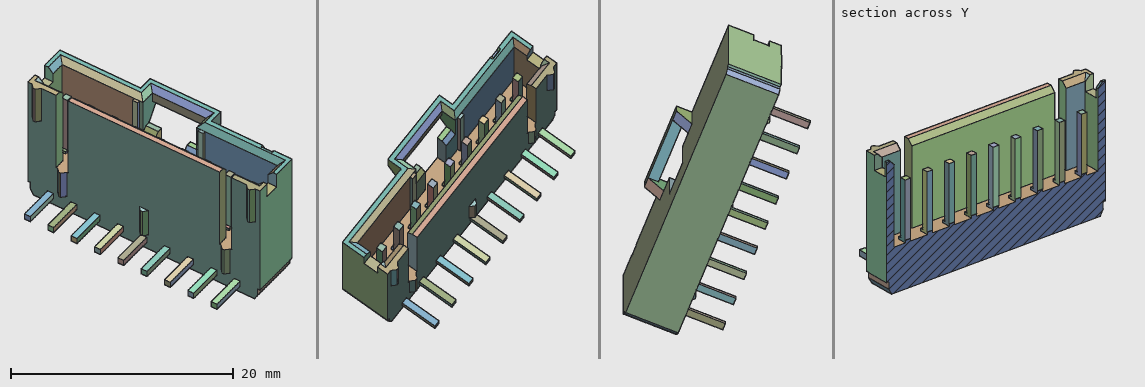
import cadquery as cq


WIDTH = 25.27
DEPTH = 5.1
HEIGHT = 13.59
FLOOR_Z = 4.72
FOOT_HEIGHT = 1.37
FOOT_STEP = 0.25
FOOT_CHAMFER_X = 0.35
FOOT_CHAMFER_Z = 0.65

MOUTH_CHAMFER = 0.53
SIDE_RIM = 0.4
FRONT_RIM = 0.53
BACK_RIM = 0.47
SIDE_WALL = SIDE_RIM + MOUTH_CHAMFER
FRONT_WALL = FRONT_RIM + MOUTH_CHAMFER
BACK_WALL = BACK_RIM + MOUTH_CHAMFER
CHAMFER_Z = HEIGHT - MOUTH_CHAMFER

BAY_WIDTH = 7.7
BAY_DEPTH = 1.5
BAY_WALL_HEIGHT = 1.54
BAY_HEIGHT = 3.75
BAY_OPENING = BAY_WIDTH - 2 * SIDE_WALL
BACK_SLOT_WIDTH = 3.13
SILL_Z = HEIGHT - BAY_HEIGHT
SILL_CHAMFER = 0.47

GUIDE_WIDTH = 0.57
GUIDE_DEPTH = 0.3

SIDE_NOTCH_WIDTH = 1.52
SIDE_NOTCH_DEPTH = 1.54
SIDE_NOTCH_Y = 1.9
FRONT_SLOT_WIDTH = 1.3

RIB_BASE = 1.0
RIB_CREST = 0.2
RIB_RISE = 0.4
UPPER_RIB_X = 11.67
UPPER_RIB_LENGTH = 4.03
LOWER_RIB_LENGTH = 2.98

MARK_X = 10.06
MARK_WIDTH = 1.25
MARK_HEIGHT = 0.25
MARK_FLAT = MARK_WIDTH - 2 * MARK_HEIGHT
MARK_DEPTH = 0.25

PIN_COUNT = 9
PITCH = 2.54
PIN_SIZE = 0.64
PIN_REACH = 3.68
PIN_Z = 1.03
PIN_Y = DEPTH / 2
PIN_LENGTH = 6.35
SHOULDER_DEPTH = 1.24
SHOULDER_RISE = 0.25

FRONT_SLOT_X = (PIN_COUNT - 2) / 2 * PITCH


def box(x_min, x_max, y_min, y_max, z_min, z_max):
    """Axis-aligned block between the given limits."""
    size = (x_max - x_min, y_max - y_min, z_max - z_min)
    return cq.Workplane("XY").box(*size, centered=False).translate((x_min, y_min, z_min))


def centred_box(x, width, y_min, y_max, z_min, z_max):
    """Axis-aligned block of the given width, centred on x."""
    return box(x - width / 2, x + width / 2, y_min, y_max, z_min, z_max)


def body():
    """Solid housing whose foot is stepped in and chamfered at both ends."""
    half = WIDTH / 2
    foot = half - FOOT_STEP
    base = foot - FOOT_CHAMFER_X
    right_side = [
        (base, 0),
        (foot, FOOT_CHAMFER_Z),
        (foot, FOOT_HEIGHT),
        (half, FOOT_HEIGHT),
        (half, HEIGHT),
    ]
    left_side = [(-x, z) for x, z in reversed(right_side)]
    return cq.Workplane("XZ").polyline(right_side + left_side).close().extrude(-DEPTH)


def latch_bay():
    """Block behind the back wall with a sloping underside."""
    profile = [
        (DEPTH, HEIGHT),
        (DEPTH + BAY_DEPTH, HEIGHT),
        (DEPTH + BAY_DEPTH, HEIGHT - BAY_WALL_HEIGHT),
        (DEPTH, HEIGHT - BAY_HEIGHT),
    ]
    return cq.Workplane("YZ").polyline(profile).close().extrude(BAY_WIDTH / 2, both=True)


def flared_cut(x_half, y_min, y_max, z_min):
    """Straight pocket up to the rim, flared outward by the mouth chamfer."""
    pocket = centred_box(0, 2 * x_half, y_min, y_max, z_min, HEIGHT)
    flare = (
        cq.Workplane("XY", origin=(0, (y_min + y_max) / 2, CHAMFER_Z))
        .rect(2 * x_half, y_max - y_min)
        .workplane(offset=MOUTH_CHAMFER)
        .rect(2 * (x_half + MOUTH_CHAMFER), y_max - y_min + 2 * MOUTH_CHAMFER)
        .loft(ruled=True)
    )
    return pocket.union(flare)


def cavity():
    """Main cavity, latch bay pocket, window under the bay wall, and slot down to the floor."""
    inner_back = DEPTH - BACK_WALL
    main = flared_cut(WIDTH / 2 - SIDE_WALL, FRONT_WALL, inner_back, FLOOR_Z)
    bay = flared_cut(BAY_OPENING / 2, PIN_Y, DEPTH + BAY_DEPTH - BACK_WALL, SILL_Z)
    window = centred_box(0, BAY_OPENING, inner_back, DEPTH + BAY_DEPTH, SILL_Z, HEIGHT - BAY_WALL_HEIGHT)
    slot = centred_box(0, BACK_SLOT_WIDTH, inner_back, DEPTH, FLOOR_Z, SILL_Z)
    bevel_profile = [
        (inner_back, SILL_Z),
        (inner_back + SILL_CHAMFER, SILL_Z),
        (inner_back, SILL_Z - SILL_CHAMFER),
    ]
    sill_bevel = cq.Workplane("YZ").polyline(bevel_profile).close().extrude(BAY_OPENING / 2, both=True)
    return main.union(bay).union(window).union(slot).union(sill_bevel)


def guide_rib(side):
    """Vertical rib inside the back wall, on one side of the latch bay."""
    inner_back = DEPTH - BACK_WALL
    x = side * (BAY_WIDTH - GUIDE_WIDTH) / 2
    return centred_box(x, GUIDE_WIDTH, inner_back - GUIDE_DEPTH, inner_back, FLOOR_Z, CHAMFER_Z)


def side_notches():
    """Rim notch through both end walls."""
    y_min = SIDE_NOTCH_Y - SIDE_NOTCH_WIDTH / 2
    return centred_box(0, WIDTH, y_min, y_min + SIDE_NOTCH_WIDTH, HEIGHT - SIDE_NOTCH_DEPTH, HEIGHT)


def front_slot(x):
    """Slot through the front wall from the rim to the cavity floor."""
    return centred_box(x, FRONT_SLOT_WIDTH, 0, FRONT_WALL, FLOOR_Z, HEIGHT)


def crush_rib(x, top_z, length):
    """Vertical trapezoidal rib on the front face."""
    profile = [
        (x - RIB_BASE / 2, 0),
        (x - RIB_CREST / 2, -RIB_RISE),
        (x + RIB_CREST / 2, -RIB_RISE),
        (x + RIB_BASE / 2, 0),
    ]
    return cq.Workplane("XY", origin=(0, 0, top_z - length)).polyline(profile).close().extrude(length)


def pin_one_mark():
    """Shallow trapezoidal nick in the back edge of the rim, with 45 degree ends."""
    profile = [
        (MARK_X - MARK_WIDTH / 2, HEIGHT),
        (MARK_X + MARK_WIDTH / 2, HEIGHT),
        (MARK_X + MARK_FLAT / 2, HEIGHT - MARK_HEIGHT),
        (MARK_X - MARK_FLAT / 2, HEIGHT - MARK_HEIGHT),
    ]
    return cq.Workplane("XZ", origin=(0, DEPTH, 0)).polyline(profile).close().extrude(MARK_DEPTH)


def pin(x):
    """Right-angle square pin with a shoulder at the cavity floor."""
    half = PIN_SIZE / 2
    tail = centred_box(x, PIN_SIZE, -PIN_REACH, PIN_Y + half, PIN_Z - half, PIN_Z + half)
    contact = centred_box(x, PIN_SIZE, PIN_Y - half, PIN_Y + half, PIN_Z, FLOOR_Z + PIN_LENGTH)
    shoulder_y = PIN_Y - SHOULDER_DEPTH / 2
    shoulder = centred_box(
        x, PIN_SIZE, shoulder_y, shoulder_y + SHOULDER_DEPTH, PIN_Z, FLOOR_Z + SHOULDER_RISE
    )
    return tail.union(contact).union(shoulder)


result = body().union(latch_bay()).cut(cavity()).cut(side_notches()).cut(pin_one_mark())

for side in (-1, 1):
    result = result.cut(front_slot(side * FRONT_SLOT_X))
    result = result.union(guide_rib(side))
    result = result.union(crush_rib(side * UPPER_RIB_X, HEIGHT, UPPER_RIB_LENGTH))

for x in (-FRONT_SLOT_X, 0, FRONT_SLOT_X):
    result = result.union(crush_rib(x, FLOOR_Z, LOWER_RIB_LENGTH))

for index in range(PIN_COUNT):
    result = result.union(pin((index - (PIN_COUNT - 1) / 2) * PITCH))